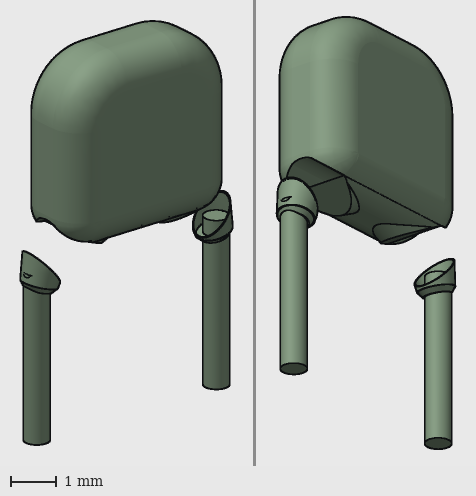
import cadquery as cq
import math

height = 8.9
width_x = 2.0
length_y = 4.5
housing_bottom = 4.5
edge_radius = 0.75
top_corner_radius = 1.5
bottom_corner_radius = 0.76

passage_floor = 4.73
passage_half_width = 0.75
shoulder_half_width = 0.27
shoulder_z = 5.09
passage_top = 5.15

bump_tip_y = 0.8
bump_tip_z = 4.31
slope_top_y = 1.68
bump_front_radius = 0.87
bump_run_y = 0.59

overall_length_y = 5.69
lead_diameter = 0.6
lead_spacing = 5.0
lead_top = 4.005

cup_lean = 16.0
cup_flare = 8.0
cup_rim_radius = 0.43
cup_base_radius = 0.32
cup_base_depth = 0.13
cup_wall = 0.03
cup_wall_length = 1.07
cup_outer_y = overall_length_y / 2
cup_outer_z = 3.8
cup_tip_y = 2.715
cup_tip_z = 4.47
cup_heel_y = 2.07
cup_heel_z = 3.71
cut_reach = 2.67

slope_rise = passage_floor - bump_tip_z
slope_run = slope_top_y - bump_tip_y
slope = slope_rise / slope_run


def at_both_ends(body):
    """Return the +Y body and its mirror image at -Y."""
    return [body, body.mirror("XZ")]


def rounded_block():
    block = cq.Workplane("XY").box(
        width_x, length_y, height - housing_bottom, centered=(True, True, False)
    )
    block = block.translate((0, 0, housing_bottom))
    block = block.edges("|X and >Z").fillet(top_corner_radius)
    block = block.edges("|X and <Z").fillet(bottom_corner_radius)
    return block.faces("<X or >X").edges().fillet(edge_radius)


def bump():
    """Elliptical segment in the sloped face, swept obliquely up into the housing."""
    face_length = math.hypot(slope_run, slope_rise)
    radius_along_slope = bump_front_radius * face_length / slope_rise
    chord_angle = math.degrees(math.asin(1 - face_length / radius_along_slope))
    slope_plane = cq.Plane(
        origin=(0, bump_tip_y, bump_tip_z), xDir=(1, 0, 0), normal=(0, -slope_rise, slope_run)
    )
    segment = (
        cq.Workplane(slope_plane)
        .center(0, radius_along_slope)
        .ellipseArc(
            bump_front_radius, radius_along_slope, 180 + chord_angle, 360 - chord_angle, startAtCurrent=False
        )
        .close()
    )
    sweep = cq.Vector(0, -bump_run_y, bump_run_y * slope)
    return cq.Workplane(cq.Solid.extrudeLinear(segment.wires().val(), [], sweep))


def end_relief():
    """Material below the passage floor and outside the sloped face of a bump."""
    return (
        cq.Workplane("YZ")
        .polyline([
            (bump_tip_y, bump_tip_z),
            (slope_top_y, passage_floor),
            (length_y, passage_floor),
            (length_y, bump_tip_z),
        ])
        .close()
        .extrude(width_x / 2, both=True)
    )


def passage():
    return (
        cq.Workplane("XZ")
        .moveTo(-passage_half_width, passage_floor)
        .lineTo(-shoulder_half_width, shoulder_z)
        .threePointArc((0, passage_top), (shoulder_half_width, shoulder_z))
        .lineTo(passage_half_width, passage_floor)
        .close()
        .extrude(length_y, both=True)
    )


def make_housing():
    housing = rounded_block()
    for end_bump in at_both_ends(bump()):
        housing = housing.union(end_bump)
    for relief in at_both_ends(end_relief()):
        housing = housing.cut(relief)
    return housing.cut(passage())


def cup():
    """Hollow flared cup on a leaning axis, cut off by an oblique plane."""
    lean = math.radians(cup_lean)
    rim_centre = (
        0,
        cup_outer_y - cup_rim_radius * math.cos(lean),
        cup_outer_z - cup_rim_radius * math.sin(lean),
    )
    mouth_radius = cup_rim_radius + cup_wall_length * math.tan(math.radians(cup_flare))
    profile = [
        (0, -cup_base_depth),
        (cup_base_radius, -cup_base_depth),
        (cup_rim_radius, 0),
        (mouth_radius, cup_wall_length),
        (mouth_radius - cup_wall, cup_wall_length),
        (cup_rim_radius - cup_wall, 0),
        (0, 0),
    ]
    cup_plane = cq.Plane(origin=rim_centre, xDir=(0, math.cos(lean), math.sin(lean)), normal=(1, 0, 0))
    flared = cq.Workplane(cup_plane).polyline(profile).close().revolve(360, (0, 0), (0, 1))
    cut_plane = cq.Plane(
        origin=(0, cup_tip_y, cup_tip_z),
        xDir=(1, 0, 0),
        normal=(0, cup_heel_z - cup_tip_z, cup_tip_y - cup_heel_y),
    )
    above_cut = cq.Workplane(cut_plane).rect(2 * cut_reach, 2 * cut_reach).extrude(cut_reach)
    return flared.cut(above_cut)


def make_lead():
    wire = cq.Workplane("XY").center(0, lead_spacing / 2).circle(lead_diameter / 2).extrude(lead_top)
    return wire.union(cup())


housing = make_housing()
leads = []
for lead in at_both_ends(make_lead()):
    leads.append(lead.solids().val())

result = cq.Compound.makeCompound([housing.solids().val(), *leads])